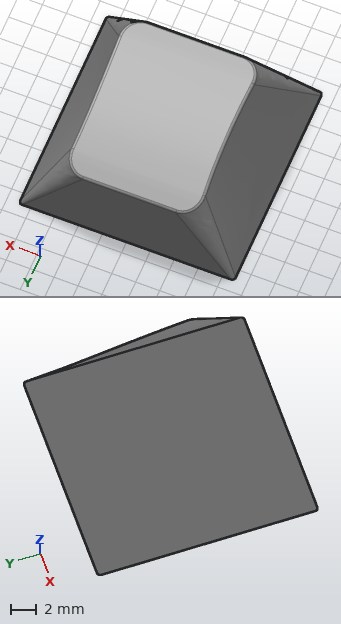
import cadquery as cq

base_size = 18.0
base_corner_radius = 0.29

crown_width = 10.8
crown_length = 13.4
crown_corner_radius = 2.0
crown_center_y = 1.82
crown_center_z = 8.3
crown_tilt = 11.0

height = 8.7
top_radius = 38.34
apex_y = -4.32
top_edge_fillet = 0.25


def rounded_rectangle(width, length, corner_radius):
    return cq.Sketch().rect(width, length).vertices().fillet(corner_radius)


def make_body():
    """Tapered walls between the base and the tilted crown outline."""
    base = rounded_rectangle(base_size, base_size, base_corner_radius)
    crown = rounded_rectangle(crown_width, crown_length, crown_corner_radius)
    tilted = cq.Location(
        cq.Vector(0, crown_center_y, crown_center_z), cq.Vector(1, 0, 0), -crown_tilt
    )
    return cq.Workplane("XY").placeSketch(base, crown.moved(tilted)).loft(ruled=True)


def make_top_cylinder():
    """Cylinder whose upper surface forms the curved top."""
    return (
        cq.Workplane("YZ")
        .center(apex_y, height - top_radius)
        .circle(top_radius)
        .extrude(base_size / 2, both=True)
    )


keycap = make_body().intersect(make_top_cylinder())
result = keycap.faces(">Z").edges().fillet(top_edge_fillet)